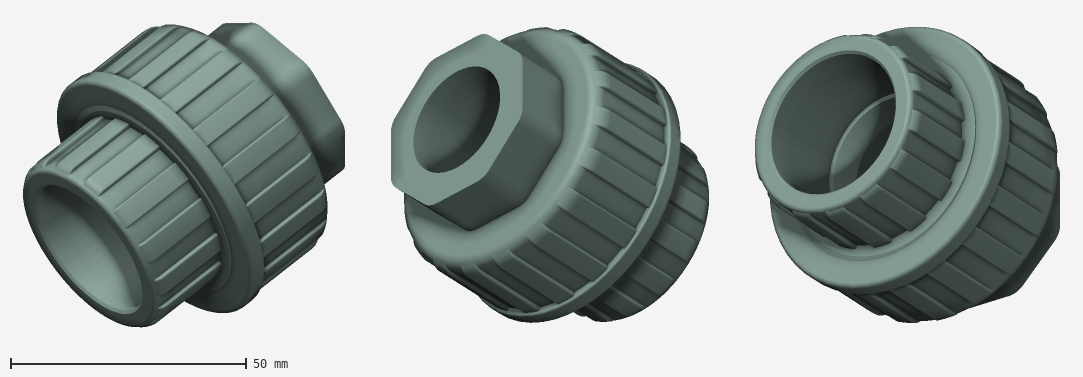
import cadquery as cq
import math


total_length = 57.65
nut_front = 19.3
nut_back = 44.9
rim_thickness = 4.0
shoulder_thickness = 3.95
boss_height = 0.35
socket_depth = 22.2
taper_length = 4.8

rim_dia = 60.0
rim_front_fillet = 1.0
rim_back_fillet = 0.5
nut_dia = 56.65
nut_fillet = 2.5
nut_rib_fillet = 4.0
nut_rib_count = 18

socket_dia = 40.9
socket_fillet = 1.1
socket_rib_fillet = 2.9
socket_rib_count = 14
collar_dia = 47.8
boss_shift = 0.7
octagon_sides = 8
octagon_flats = 38.0
octagon_corner_radius = 4.9
mouth_dia = 33.25
bore_dia = 32.1
taper_dia = 30.05
hole_dia = 25.0

rib_width = 4.85
rib_height = 0.9
rib_edge_fillet = 0.4
rib_root_depth = 1.1

shoulder_front = nut_back - shoulder_thickness
rim_back = nut_front + rim_thickness


def cylinder(dia, start, end):
    """Solid cylinder on the Y axis between two positions along it."""
    return cq.Workplane("XZ", origin=(0, start, 0)).circle(dia / 2).extrude(start - end)


def disc_with_rounded_end(dia, start, end, fillet, end_selector):
    """Cylinder on the Y axis with one end edge rounded."""
    return cylinder(dia, start, end).faces(end_selector).edges().fillet(fillet)


def rib(base_dia, start, end, end_fillet, end_selector):
    """One bar along Y at the +Z side, its outer end rounded down towards the axis."""
    outer = disc_with_rounded_end(base_dia + 2 * rib_height, start, end, end_fillet, end_selector)
    root_radius = base_dia / 2 - rib_root_depth
    bar_height = 2 * (rib_height + rib_root_depth)
    bar_center = (0, (start + end) / 2, root_radius + bar_height / 2)
    bar = cq.Workplane("XY").box(rib_width, end - start, bar_height).translate(bar_center)
    blank = outer.intersect(bar)
    long_edges = blank.faces("<X or >X").edges("not |Z").edges("not <Z")
    return blank.newObject(long_edges.vals()).fillet(rib_edge_fillet)


def add_ribs(body, count, one_rib):
    """Body with equally spaced copies of a rib around the Y axis."""
    copies = [one_rib.rotate((0, 0, 0), (0, 1, 0), i * 360 / count).val() for i in range(count)]
    return cq.Workplane(body.val().fuse(*copies))


def make_nut():
    """Rim and ribbed sleeve, bored for the fitting's collar and stepped in at the back."""
    rim = cylinder(rim_dia, nut_front, rim_back)
    rim = rim.faces("<Y").edges().fillet(rim_front_fillet)
    rim = rim.faces(">Y").edges().fillet(rim_back_fillet)
    sleeve = disc_with_rounded_end(nut_dia, nut_front, nut_back, nut_fillet, ">Y")
    rib_start = rim_back - rim_back_fillet
    nut_rib = rib(nut_dia, rib_start, nut_back, nut_rib_fillet, ">Y")
    nut = add_ribs(rim.union(sleeve), nut_rib_count, nut_rib)
    nut = nut.cut(cylinder(collar_dia, nut_front, shoulder_front))
    return nut.cut(cylinder(socket_dia, shoulder_front, nut_back))


def make_boss():
    """Low step in front of the collar, its front circle smaller and shifted towards +X."""
    front_radius = collar_dia / 2 - boss_shift
    boss = cq.Workplane("XZ", origin=(0, nut_front, 0)).circle(collar_dia / 2)
    return boss.workplane(offset=boss_height).center(boss_shift, 0).circle(front_radius).loft(ruled=True)


def make_octagon():
    """Octagonal end with flats facing X and Z and rounded corners."""
    half_side_angle = 180 / octagon_sides
    corner_dia = octagon_flats / math.cos(math.radians(half_side_angle))
    octagon = cq.Workplane("XZ", origin=(0, nut_back, 0)).polygon(octagon_sides, corner_dia)
    octagon = octagon.extrude(nut_back - total_length).rotate((0, 0, 0), (0, 1, 0), half_side_angle)
    return octagon.edges("|Y").fillet(octagon_corner_radius)


def make_bore():
    """Space along the axis: chamfered mouth, pipe socket, short taper and plain hole to the far end."""
    mouth_depth = (mouth_dia - bore_dia) / 2
    profile = cq.Workplane("XY").polyline([
        (0, 0),
        (mouth_dia / 2, 0),
        (bore_dia / 2, mouth_depth),
        (bore_dia / 2, socket_depth),
        (taper_dia / 2, socket_depth),
        (hole_dia / 2, socket_depth + taper_length),
        (hole_dia / 2, total_length),
        (0, total_length),
    ])
    return profile.close().revolve(360, (0, 0), (0, 1))


def make_fitting():
    """Ribbed socket, collar and neck inside the nut, and octagonal end."""
    barrel = disc_with_rounded_end(socket_dia, 0, nut_back, socket_fillet, "<Y")
    socket_rib = rib(socket_dia, 0, nut_front, socket_rib_fillet, "<Y")
    fitting = add_ribs(barrel, socket_rib_count, socket_rib)
    fitting = fitting.union(cylinder(collar_dia, nut_front, shoulder_front))
    fitting = fitting.union(make_boss()).union(make_octagon())
    return fitting.cut(make_bore())


nut = make_nut()
fitting = make_fitting()
result = cq.Compound.makeCompound([nut.val(), fitting.val()])